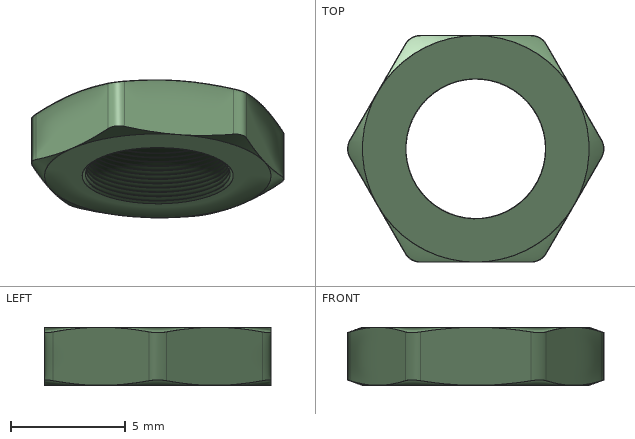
import cadquery as cq
import math

thickness = 2.54
side_count = 6
across_flats = 9.906
across_corners = across_flats / math.cos(math.pi / side_count)
corner_radius = 0.762

chamfer_angle = 20.0

bore_radius = 3.048
root_radius = 3.302
thread_pitch = 0.2032
full_groove_count = 12
thread_angle = 60.0
flank_slope = math.tan(math.radians(thread_angle / 2))


def hexagon_body():
    """Hexagonal prism with rounded vertical corners, corners on the X axis."""
    prism = cq.Workplane("XY").polygon(side_count, across_corners).extrude(thickness / 2, both=True)
    return prism.edges("|Z").fillet(corner_radius)


def chamfer_envelope():
    """Double cone that trims the corners of the hexagon at both faces."""
    face_radius = across_flats / 2
    rim_radius = across_corners / 2
    half_height = thickness / 2
    rim_height = half_height - (rim_radius - face_radius) * math.tan(math.radians(chamfer_angle))
    return (
        cq.Workplane("XZ")
        .moveTo(0, -half_height)
        .lineTo(face_radius, -half_height)
        .lineTo(rim_radius, -rim_height)
        .lineTo(rim_radius, rim_height)
        .lineTo(face_radius, half_height)
        .lineTo(0, half_height)
        .close()
        .revolve(360, (0, 0, 0), (0, 1, 0))
    )


def threaded_bore():
    """Grooved bore: the top rim has the bore radius, and the last root lies on the bottom face."""
    top = thickness / 2
    first_root = top - (root_radius - bore_radius) * flank_slope
    roots = [first_root - groove * thread_pitch for groove in range(full_groove_count)]
    roots.append(-top)

    profile = cq.Workplane("XZ").moveTo(0, top).lineTo(bore_radius, top)
    profile = profile.lineTo(root_radius, roots[0])
    for upper_root, lower_root in zip(roots, roots[1:]):
        half_gap = (upper_root - lower_root) / 2
        profile = profile.lineTo(root_radius - half_gap / flank_slope, upper_root - half_gap)
        profile = profile.lineTo(root_radius, lower_root)
    return profile.lineTo(0, -top).close().revolve(360, (0, 0, 0), (0, 1, 0))


result = hexagon_body().intersect(chamfer_envelope()).cut(threaded_bore())